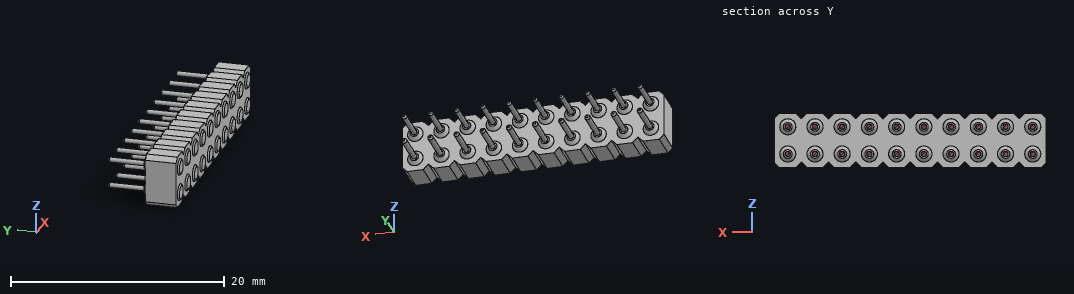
import cadquery as cq

columns = 10
rows = 2
pitch = 2.55
housing_length = columns * pitch
housing_height = rows * pitch
housing_depth = 3.0
corner_chamfer = 0.45
notch_depth = 0.5

head_diameter = 1.6
head_height = 0.15
collar_base_diameter = 1.5
collar_end_diameter = 0.81
collar_height = 0.38
pin_diameter = 0.5
pin_length = 3.58
tip_chamfer_length = 0.2
tip_diameter = 0.2


def make_housing():
    """Block with its front face on Y = 0, chamfered ends and V notches between columns."""
    block = cq.Workplane("XY").box(housing_length, housing_depth, housing_height)
    block = block.edges("|Y").chamfer(corner_chamfer)
    block = block.translate((0, housing_depth / 2, 0))
    for gap in range(1, columns):
        x = gap * pitch - housing_length / 2
        for side in (-1, 1):
            z_face = side * housing_height / 2
            notch = (
                cq.Workplane("XZ")
                .moveTo(x - notch_depth, z_face)
                .lineTo(x, z_face - side * notch_depth)
                .lineTo(x + notch_depth, z_face)
                .close()
                .extrude(-housing_depth)
            )
            block = block.cut(notch)
    return block


def make_contact():
    """Bevelled head in front, conical collar and slender pin behind, revolved about Y."""
    head_radius = head_diameter / 2
    pin_radius = pin_diameter / 2
    shank_step = housing_depth / 2
    collar_end = housing_depth + collar_height
    pin_end = collar_end + pin_length
    return (
        cq.Workplane("XY")
        .moveTo(0, -head_height)
        .lineTo(head_radius - head_height, -head_height)
        .lineTo(head_radius, 0)
        .lineTo(head_radius, shank_step)
        .lineTo(collar_base_diameter / 2, shank_step)
        .lineTo(collar_base_diameter / 2, housing_depth)
        .lineTo(collar_end_diameter / 2, collar_end)
        .lineTo(pin_radius, collar_end)
        .lineTo(pin_radius, pin_end - tip_chamfer_length)
        .lineTo(tip_diameter / 2, pin_end)
        .lineTo(0, pin_end)
        .close()
        .revolve(360, (0, 0, 0), (0, 1, 0))
    )


housing = make_housing()
contact = make_contact()
result = housing
for column in range(columns):
    for row in range(rows):
        contact_x = (column + 0.5) * pitch - housing_length / 2
        contact_z = (row + 0.5) * pitch - housing_height / 2
        result = result.union(contact.translate((contact_x, 0, contact_z)))